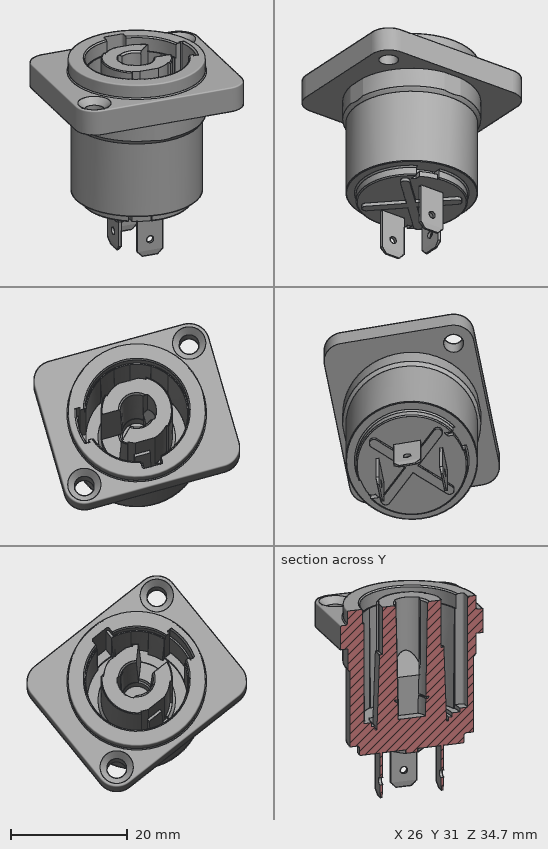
import cadquery as cq
import math

total_height = 34.7

flange_x, flange_y = 26.0, 31.0
flange_bottom, flange_top = 27.73, 32.15
flange_corner_radius = 3.5
edge_round = 0.25

screw_x, screw_y = 9.5, 12.0
screw_diameter = 3.4
countersink_diameter = 5.7
countersink_angle = 90.0

nose_diameter = 23.5
nose_foot = 0.2
collar_diameter = 23.65
collar_bottom = 23.53
collar_lip_bottom, collar_lip_top = 23.98, 24.25
collar_lip_bevel = 0.17
collar_flat_width = 3.47
barrel_diameter = 22.6
barrel_bottom = 9.85
barrel_chamfer = 0.15

cavity_floor = 13.88
notch_floor = 14.57
hub_gap_floor = 17.35
bore_top_radius = 8.92
bore_low_radius = 8.7
bore_low_top = 32.03
bore_chamfer = 0.25

long_rib_foot_radius = 8.5
short_rib_foot_radius = 8.22
long_rib = (long_rib_foot_radius, 193.0, 306.0)
short_ribs = [(short_rib_foot_radius, start, end) for start, end in
              [(108.5, 128.0), (148.0, 171.0), (11.0, 30.0), (328.0, 352.0)]]

notch_radius = 10.3
wide_notch_half_width = 3.15
wide_notch_neck_half_width = 2.7
wide_notch_lip_radius = 9.75
wide_notch_chamfer = 0.3
wide_notch_step_z = 28.25
wide_notch_step_radius = 10.0
side_notch_reach = 10.13
side_notch_half_width = 1.8
side_notch_corner = 0.35
side_notch_shelf_y = 1.35

hub_top = 34.63
hub_radius = 6.1
hub_edge = 0.17
hub_foot = 0.52
hub_relief_radius = 5.7
hub_relief_start, hub_relief_end = 149.0, 227.0
hub_hole_top_radius, hub_hole_floor_radius = 2.85, 2.45
hub_hole_chamfer = 0.3
hub_gap_wall_x = 0.95
hub_gap_diagonal_shift = 0.28
hub_gap_draft = 1.4
hub_gap_reach = 7.98

contact_pocket_inner, contact_pocket_outer = 5.4, 7.32
contact_pocket_step_x = 6.65
contact_pocket_half_width = 2.3
contact_pocket_depth = 1.4
contact_pocket_step_depth = 0.7
contact_foot_x, contact_tip_x = 6.4, 5.9
contact_y_low, contact_y_high = -0.75, 2.0
contact_top = 26.02

ground_contact_edge_y = -1.75
ground_contact_radius = 3.35
ground_contact_half_width = 2.22
ground_contact_foot_z, ground_contact_top_z = 20.82, 25.0

ring_diameter = 19.1
ring_bottom = 8.1
ring_chamfer = 0.2
ring_flare = 0.28
latch_y_low, latch_y_high = 1.25, 5.03
latch_step_y = 4.37
latch_radius, latch_window_radius = 9.2, 8.33
latch_window_bottom = 9.02
cross_end_centre = 5.55
cross_end_radius = 0.8
cross_bottom = 7.45

blade_width = 4.7
blade_thickness = 0.55
blade_tip_width = 2.8
blade_tip_thickness = 0.28
blade_tip_height = 0.97
blade_hole_diameter = 1.3
blade_hole_z = 3.02
line_blade_x = 5.55
ground_blade_y = -4.15


def disc(radius, bottom, top):
    return cq.Workplane("XY").workplane(offset=bottom).circle(radius).extrude(top - bottom)


def cone(bottom_radius, top_radius, bottom, top):
    return cq.Workplane(cq.Solid.makeCone(bottom_radius, top_radius, top - bottom, cq.Vector(0, 0, bottom)))


def block(x_range, y_range, z_range):
    corner = cq.Vector(x_range[0], y_range[0], z_range[0])
    size = [high - low for low, high in (x_range, y_range, z_range)]
    return cq.Workplane(cq.Solid.makeBox(*size, corner))


def half_turn(shape):
    return shape.rotate((0, 0, 0), (0, 0, 1), 180)


def revolve_sector(profile, start, end):
    """Revolve an (r, z) profile about Z between two angles."""
    sector = cq.Workplane("XZ").polyline(profile).close().revolve(end - start, (0, 0, 0), (0, 1, 0))
    return sector.rotate((0, 0, 0), (0, 0, 1), start)


def flange():
    plate = cq.Workplane("XY").workplane(offset=flange_bottom).rect(flange_x, flange_y)
    plate = plate.extrude(flange_top - flange_bottom).edges("|Z").fillet(flange_corner_radius)
    return plate.faces(">Z").edges().fillet(edge_round)


def outer_body():
    nose_radius = nose_diameter / 2
    nose = disc(nose_radius, flange_bottom, total_height).faces(">Z").edges().fillet(edge_round)
    foot = cone(nose_radius + nose_foot, nose_radius, flange_top, flange_top + nose_foot)

    collar_radius = collar_diameter / 2
    collar_profile = [
        (0, collar_bottom),
        (barrel_diameter / 2, collar_bottom),
        (collar_radius - collar_lip_bevel, collar_lip_bottom),
        (collar_radius, collar_lip_top),
        (collar_radius, flange_bottom),
        (0, flange_bottom),
    ]
    collar = revolve_sector(collar_profile, 0, 360)
    flat_distance = math.sqrt(collar_radius ** 2 - (collar_flat_width / 2) ** 2)
    collar = collar.intersect(block((-flat_distance, flat_distance), (-collar_radius, flat_distance),
                                    (collar_bottom, flange_bottom)))

    barrel = disc(barrel_diameter / 2, barrel_bottom, flange_bottom)
    barrel = barrel.faces("<Z").edges().chamfer(barrel_chamfer)
    return flange().union(nose).union(foot).union(collar).union(barrel)


def screw_holes(body):
    centres = [(-screw_x, screw_y), (screw_x, -screw_y)]
    holes = body.copyWorkplane(cq.Workplane("XY", origin=(0, 0, flange_top))).pushPoints(centres)
    return holes.cskHole(screw_diameter, countersink_diameter, countersink_angle)


def bore():
    """Stepped bore with a chamfered mouth, less the tapered bayonet ribs."""
    profile = [
        (0, cavity_floor),
        (bore_low_radius, cavity_floor),
        (bore_low_radius, bore_low_top),
        (bore_top_radius, bore_low_top),
        (bore_top_radius, total_height - bore_chamfer),
        (bore_top_radius + bore_chamfer, total_height),
        (0, total_height),
    ]
    space = revolve_sector(profile, 0, 360)
    for foot_radius, start, end in [long_rib] + short_ribs:
        rib = [
            (foot_radius, cavity_floor),
            (bore_top_radius, cavity_floor),
            (bore_top_radius, bore_low_top),
            (bore_low_radius, bore_low_top),
        ]
        space = space.cut(revolve_sector(rib, start, end))
    return space


def wide_notch():
    """T-shaped key slot on the +Y side, stepped inward at its lower end."""
    depth_range = (notch_floor, total_height)
    neck = block((-wide_notch_neck_half_width, wide_notch_neck_half_width),
                 (hub_radius + hub_foot, notch_radius), depth_range)
    head = block((-wide_notch_half_width, wide_notch_half_width),
                 (bore_low_radius, notch_radius + wide_notch_chamfer), depth_range)
    head = head.cut(disc(wide_notch_lip_radius, *depth_range))
    limit = disc(wide_notch_step_radius, notch_floor, wide_notch_step_z)
    limit = limit.union(disc(notch_radius, wide_notch_step_z, total_height))
    mouth = cone(notch_radius, notch_radius + wide_notch_chamfer,
                 total_height - wide_notch_chamfer, total_height)
    return neck.union(head).intersect(limit.union(mouth))


def side_notch():
    slot = block((-side_notch_reach, -hub_radius - hub_foot),
                 (-side_notch_half_width, side_notch_half_width), (notch_floor, total_height))
    slot = slot.edges("|Z and <X").fillet(side_notch_corner)
    shelf = block((-side_notch_reach, -short_rib_foot_radius),
                  (side_notch_shelf_y, side_notch_half_width), (notch_floor, bore_low_top))
    return slot.cut(shelf)


def hub_gap():
    """Drafted opening between the hub's straight wall and its diagonal wall."""
    outline = [
        (hub_gap_wall_x, -hub_gap_diagonal_shift),
        (hub_gap_wall_x, hub_gap_reach),
        (-hub_gap_reach - hub_gap_diagonal_shift, hub_gap_reach - hub_gap_diagonal_shift),
        (-hub_gap_diagonal_shift, -hub_gap_diagonal_shift),
    ]
    gap = cq.Workplane("XY").workplane(offset=total_height).polyline(outline).close()
    return gap.extrude(hub_gap_floor - total_height, taper=hub_gap_draft)


def hub():
    post = disc(hub_radius, cavity_floor, hub_top).faces(">Z").edges().chamfer(hub_edge)
    relief = [
        (hub_relief_radius, cavity_floor),
        (hub_radius, cavity_floor),
        (hub_radius, hub_top),
        (hub_relief_radius, hub_top),
    ]
    relief_cut = revolve_sector(relief, hub_relief_start, hub_relief_end)
    post = post.cut(relief_cut).cut(half_turn(relief_cut))
    foot = cone(hub_radius + hub_foot, hub_radius, cavity_floor, cavity_floor + hub_foot)
    post = post.union(foot)

    hole_profile = [
        (0, cavity_floor),
        (hub_hole_floor_radius, cavity_floor),
        (hub_hole_top_radius, hub_top - hub_hole_chamfer),
        (hub_hole_top_radius + hub_hole_chamfer, hub_top),
        (0, hub_top),
    ]
    hole = revolve_sector(hole_profile, 0, 360)
    gap_rim = cone(hub_hole_top_radius, hub_hole_top_radius + hub_hole_chamfer,
                   hub_gap_floor - hub_hole_chamfer, hub_gap_floor)
    ground_opening = disc(ground_contact_radius, ground_contact_foot_z, hub_top)
    ground_opening = ground_opening.intersect(block(
        (-ground_contact_half_width, ground_contact_half_width),
        (-hub_radius, ground_contact_edge_y), (ground_contact_foot_z, hub_top)))
    return post.cut(hole).cut(hub_gap()).cut(gap_rim).cut(ground_opening)


def ground_contact():
    """Ramp on the -Y side of the hub hole."""
    back_y = -ground_contact_radius
    profile = [
        (ground_contact_edge_y, cavity_floor),
        (ground_contact_edge_y, ground_contact_foot_z),
        (back_y, ground_contact_top_z),
        (back_y, cavity_floor),
    ]
    ramp = cq.Workplane("YZ").polyline(profile).close().extrude(hub_radius, both=True)
    return ramp.intersect(disc(ground_contact_radius, cavity_floor, total_height))


def contact_pocket():
    """Stepped pocket in the cavity floor with a flat cut into the hub, on the -X side."""
    y_range = (-contact_pocket_half_width, contact_pocket_half_width)
    deep = block((-contact_pocket_step_x, -contact_pocket_inner), y_range,
                 (cavity_floor - contact_pocket_depth, hub_top))
    shallow = block((-contact_pocket_outer, -contact_pocket_inner), y_range,
                    (cavity_floor - contact_pocket_step_depth, cavity_floor))
    shallow = shallow.intersect(disc(contact_pocket_outer, barrel_bottom, cavity_floor))
    return deep.union(shallow)


def line_contact():
    """Spring contact leaning against the hub on the -X side."""
    pocket_floor = cavity_floor - contact_pocket_depth
    profile = [
        (-contact_foot_x, pocket_floor),
        (-contact_tip_x, contact_top),
        (-contact_pocket_inner, contact_top),
        (-contact_pocket_inner, pocket_floor),
    ]
    wedge = cq.Workplane("XZ", origin=(0, contact_y_high, 0)).polyline(profile).close()
    return wedge.extrude(contact_y_high - contact_y_low)


def rear_ring():
    ring = disc(ring_diameter / 2, ring_bottom, barrel_bottom).faces("<Z").edges().chamfer(ring_chamfer)
    ring_radius = ring_diameter / 2
    ring = ring.union(cone(ring_radius, ring_radius + ring_flare, barrel_bottom - ring_flare, barrel_bottom))
    outside = (-ring_diameter, 0)
    notch = block(outside, (latch_y_low, latch_y_high), (ring_bottom, barrel_bottom))
    tongue = disc(latch_radius, ring_bottom, latch_window_bottom)
    tongue = tongue.intersect(block(outside, (latch_y_low, latch_step_y), (ring_bottom, barrel_bottom)))
    core = disc(latch_window_radius, ring_bottom, barrel_bottom)
    notch = notch.cut(core).cut(tongue)
    return ring.cut(notch).cut(half_turn(notch)).union(cross_ribs())


def cross_ribs():
    """Two round-ended ribs on the diagonals that separate the blades."""
    length = 2 * (math.sqrt(2) * cross_end_centre + cross_end_radius)
    height = ring_bottom - cross_bottom
    base = cq.Workplane("XY").workplane(offset=cross_bottom)
    rising = base.slot2D(length, 2 * cross_end_radius, 45).extrude(height)
    falling = base.slot2D(length, 2 * cross_end_radius, -45).extrude(height)
    return rising.union(falling)


def blade():
    """Flat tab in the YZ plane with a tapered tip and a hole."""
    half_width, half_tip = blade_width / 2, blade_tip_width / 2
    face = [
        (-half_width, ring_bottom),
        (-half_width, blade_tip_height),
        (-half_tip, 0),
        (half_tip, 0),
        (half_width, blade_tip_height),
        (half_width, ring_bottom),
    ]
    half_thick, half_tip_thick = blade_thickness / 2, blade_tip_thickness / 2
    edge = [
        (-half_thick, ring_bottom),
        (-half_thick, blade_tip_height),
        (-half_tip_thick, 0),
        (half_tip_thick, 0),
        (half_thick, blade_tip_height),
        (half_thick, ring_bottom),
    ]
    tab = cq.Workplane("YZ").polyline(face).close().extrude(blade_thickness, both=True)
    tab = tab.intersect(cq.Workplane("XZ").polyline(edge).close().extrude(blade_width, both=True))
    hole = cq.Workplane("YZ").center(0, blade_hole_z).circle(blade_hole_diameter / 2)
    return tab.cut(hole.extrude(blade_thickness, both=True))


result = screw_holes(outer_body())
result = result.cut(bore()).cut(wide_notch()).cut(side_notch())
result = result.union(hub()).union(ground_contact()).union(rear_ring())

pockets = contact_pocket()
contacts = line_contact()
result = result.cut(pockets).cut(half_turn(pockets))
result = result.union(contacts).union(half_turn(contacts))

blade_places = [((-line_blade_x, 0, 0), 0), ((line_blade_x, 0, 0), 0), ((0, ground_blade_y, 0), 90)]
for offset, turn in blade_places:
    result = result.union(blade().rotate((0, 0, 0), (0, 0, 1), turn).translate(offset))